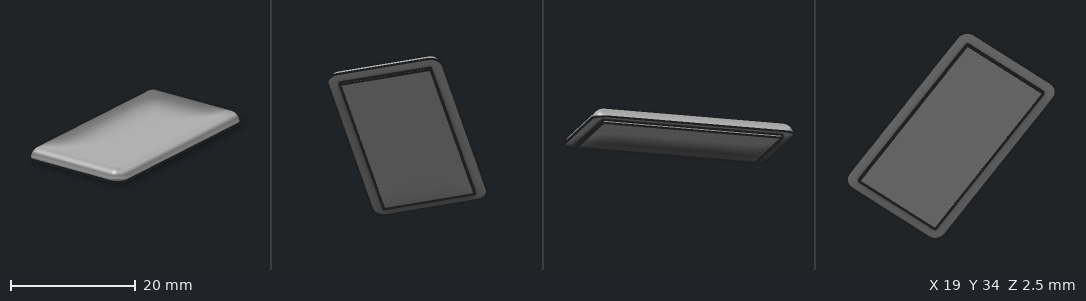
import cadquery as cq

length = 34.0
width = 19.0
edge_radius = 2.0
plate_thickness = 0.5

plate_width = width - 2 * edge_radius
plate_length = length - 2 * edge_radius


def rounded_cover():
    """Cover with quarter-round sides and spherical corners, flat at Z = 0."""
    skirt_depth = edge_radius
    block = (
        cq.Workplane("XY")
        .workplane(offset=-skirt_depth)
        .rect(width, length)
        .extrude(skirt_depth + edge_radius)
        .edges("|Z or >Z")
        .fillet(edge_radius)
    )
    skirt = cq.Workplane("XY").rect(width, length).extrude(-skirt_depth)
    return block.cut(skirt)


def base_plate():
    """Thin flat plate below the cover."""
    return cq.Workplane("XY").rect(plate_width, plate_length).extrude(-plate_thickness)


result = rounded_cover().union(base_plate())